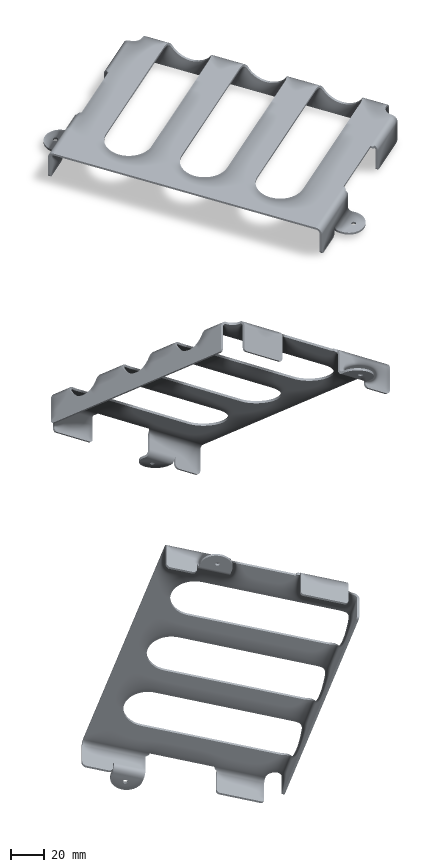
import cadquery as cq
import math


thickness = 1.5
bend_outer = 4.0
bend_inner = bend_outer - thickness
bend_middle = (bend_outer + bend_inner) / 2

width = 181.0
length = 125.0
edge_x = width / 2
plate_x = edge_x - bend_outer
plate_y = length - bend_outer

corner_setback = 10.0
rear_depth = 20.0
rear_x = edge_x - corner_setback
rear_corner = 2.0
notch_radius = plate_x - rear_x

rear_tab_end = length - corner_setback
rear_tab_length = 30.0
rear_tab_start = rear_tab_end - rear_tab_length
rear_tab_depth = 20.0
rear_tab_corner = 2.0
front_tab_end = 40.0
front_tab_depth = 20.5
front_tab_corner = 3.0
relief_radius = 2.0

ear_width = 20.0
ear_reach = 15.0
ear_drop = 17.5
ear_y = front_tab_end - ear_width / 2
ear_start = front_tab_end - ear_width
ear_slit = 0.5
ear_bend_z = bend_outer - ear_drop
ear_bend_x = edge_x + bend_inner
ear_centre_x = edge_x + ear_reach - ear_width / 2
hole_diameter = 3.0
hole_offset = 8.0
hole_x = edge_x + hole_offset

slot_pitch = 50.0
slot_radius = 15.0
slot_front_margin = 15.0
slot_front_y = slot_front_margin + slot_radius
slot_flange_depth = 10.3
slot_flange_z = slot_radius - slot_flange_depth
bend_length = bend_middle * math.pi / 2
slot_rear_y = plate_y - (slot_flange_z + bend_outer - bend_length)
wedge_sections = 5
cut_margin = 0.5


def bent_profile(plane, edge, depth):
    """Section of a downward bend and its wall; local x runs outward, local y runs up."""
    diagonal = math.sqrt(0.5)
    centre = edge - bend_outer
    return (
        cq.Workplane(plane)
        .moveTo(centre, 0)
        .threePointArc(
            (centre + bend_outer * diagonal, bend_outer * (diagonal - 1)),
            (edge, -bend_outer),
        )
        .lineTo(edge, -depth)
        .lineTo(edge - thickness, -depth)
        .lineTo(edge - thickness, -bend_outer)
        .threePointArc(
            (centre + bend_inner * diagonal, bend_inner * diagonal - bend_outer),
            (centre, -thickness),
        )
        .close()
    )


def side_bend(start, end, depth):
    """Right-hand bend and wall between two Y positions."""
    plane = cq.Plane(origin=(0, start, 0), xDir=(1, 0, 0), normal=(0, -1, 0))
    return bent_profile(plane, edge_x, depth).extrude(start - end)


def plate():
    sheet = (
        cq.Workplane("XY")
        .rect(2 * plate_x, plate_y)
        .extrude(-thickness)
        .translate((0, plate_y / 2, 0))
    )
    for side in (-1, 1):
        notch = (
            cq.Workplane("XY")
            .moveTo(side * (plate_x - notch_radius), plate_y)
            .radiusArc((side * plate_x, rear_tab_end), -side * notch_radius)
            .lineTo(side * plate_x, plate_y)
            .close()
            .extrude(-thickness)
        )
        sheet = sheet.cut(notch)
    return sheet


def round_bottom(wall, thickness_axis, radius):
    """Round the two lower corners of a wall; they run along its thickness axis."""
    return wall.faces("<Z").edges("|" + thickness_axis).fillet(radius)


def rear_flange():
    plane = cq.Plane(origin=(-rear_x, 0, 0), xDir=(0, 1, 0), normal=(1, 0, 0))
    flange = bent_profile(plane, length, rear_depth).extrude(2 * rear_x)
    return round_bottom(flange, "Y", rear_corner)


def edge_relief(tab_edge, direction):
    """Concave corner in the bend, from a tab edge to the plate edge; direction is +1 or -1 in Y."""
    far_edge = tab_edge + direction * relief_radius
    corner = (
        cq.Workplane("XY")
        .moveTo(plate_x, tab_edge)
        .lineTo(plate_x + relief_radius, tab_edge)
        .radiusArc((plate_x, far_edge), -direction * relief_radius)
        .close()
        .extrude(-bend_outer)
    )
    strip = side_bend(min(tab_edge, far_edge), max(tab_edge, far_edge), front_tab_depth)
    return strip.intersect(corner)


def rear_tab():
    tab = side_bend(rear_tab_start, rear_tab_end, rear_tab_depth)
    tab = round_bottom(tab, "X", rear_tab_corner)
    return tab.union(edge_relief(rear_tab_start, -1))


def front_tab():
    """Tab with a full-depth wall, a narrow slit beside the ear, and a short wall above the ear."""
    wall_end = ear_start - ear_slit
    tab = side_bend(0, wall_end, front_tab_depth)
    tab = round_bottom(tab, "X", front_tab_corner)
    tab = tab.union(side_bend(wall_end, front_tab_end, -ear_bend_z))
    return tab.union(edge_relief(front_tab_end, 1))


def ear():
    """Outward bend at the foot of the front tab, ending in a round lug with a screw hole."""
    bend = (
        cq.Workplane("XZ", origin=(0, ear_start, 0))
        .moveTo(edge_x - thickness, ear_bend_z)
        .radiusArc((ear_bend_x, -ear_drop), -bend_outer)
        .lineTo(ear_bend_x, thickness - ear_drop)
        .radiusArc((edge_x, ear_bend_z), bend_inner)
        .close()
        .extrude(-ear_width)
    )
    lug = (
        cq.Workplane("XY", origin=(0, 0, -ear_drop))
        .moveTo(ear_bend_x, ear_start)
        .lineTo(ear_centre_x, ear_start)
        .threePointArc((edge_x + ear_reach, ear_y), (ear_centre_x, front_tab_end))
        .lineTo(ear_bend_x, front_tab_end)
        .close()
        .extrude(thickness)
    )
    hole_plane = cq.Workplane("XY", origin=(hole_x, ear_y, -ear_drop))
    hole = hole_plane.circle(hole_diameter / 2).extrude(thickness)
    return bend.union(lug).cut(hole)


def bend_section(angle):
    """Radial slot section across the rear bend, at an angle from the plate's end."""
    along_bend = plate_y + bend_middle * angle - slot_rear_y
    half_width = math.sqrt(slot_radius**2 - along_bend**2)
    corners = []
    for x, radius in (
        (-half_width, bend_inner - cut_margin),
        (half_width, bend_inner - cut_margin),
        (half_width, bend_outer + cut_margin),
        (-half_width, bend_outer + cut_margin),
    ):
        y = plate_y + radius * math.sin(angle)
        z = radius * math.cos(angle) - bend_outer
        corners.append(cq.Vector(x, y, z))
    return cq.Wire.makePolygon(corners, close=True)


def slot_pieces():
    """Cutting bodies for one slot: in the plate, around the bend and down the flange."""
    plan = (
        cq.Workplane("XY")
        .moveTo(-slot_radius, slot_front_y)
        .threePointArc((0, slot_front_y - slot_radius), (slot_radius, slot_front_y))
        .lineTo(slot_radius, slot_rear_y)
        .threePointArc((0, slot_rear_y + slot_radius), (-slot_radius, slot_rear_y))
        .close()
        .extrude(-thickness)
    )
    before_bend = cq.Workplane("XY").box(width, plate_y, bend_outer, centered=(True, False, True))
    flange_plane = cq.Workplane("XZ", origin=(0, length - thickness, slot_flange_z))
    flange_disc = flange_plane.circle(slot_radius).extrude(-thickness)
    bend_end = cq.Workplane("XY", origin=(0, length, -bend_outer))
    below_bend = bend_end.rect(width, bend_outer).extrude(-rear_depth)
    step = math.pi / 2 / (wedge_sections - 1)
    sections = [bend_section(index * step) for index in range(wedge_sections)]
    wedge = cq.Workplane(obj=cq.Solid.makeLoft(sections))
    return plan.intersect(before_bend), wedge, flange_disc.intersect(below_bend)


result = plate().union(rear_flange())
side = rear_tab().union(front_tab()).union(ear())
result = result.union(side).union(side.mirror("YZ"))
for column in (-1, 0, 1):
    for piece in slot_pieces():
        result = result.cut(piece.translate((column * slot_pitch, 0, 0)))